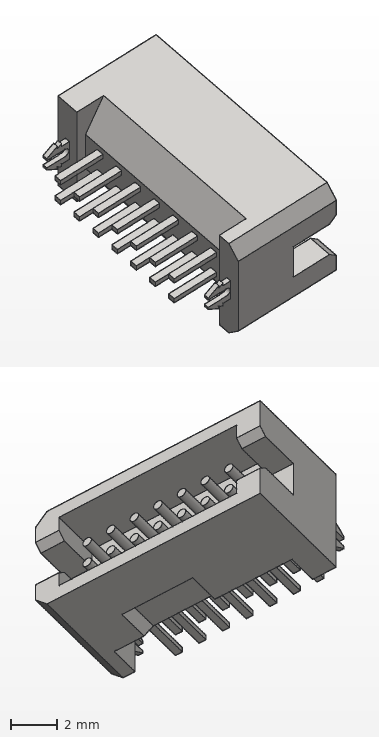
import cadquery as cq


LENGTH = 12.06
HEIGHT = 5.7
DEPTH = 5.58
CORNER_CHAMFER = 0.63
END_WALL = 1.27
CAVITY_LENGTH = LENGTH - 2 * END_WALL
CAVITY_HEIGHT = 4.2
CAVITY_DEPTH = 2.44

SLOT_HEIGHT = 1.93
MOUTH_FLARE = 0.34
MOUTH_RUN = 0.4

RECESS_FLOOR_DEPTH = 0.5
RECESS_FLOOR_HEIGHT = 2.17
RECESS_EDGE_DEPTH = 1.52

PITCH = 1.27
COLUMNS = 7
PIN_DIAMETER = 0.46
PIN_TIP_SETBACK = 0.75
TAIL_WIDTH = 0.37
TAIL_HEIGHT = 0.28
TAIL_REACH = 1.9

WINDOW_LENGTH = 3 * PITCH
WINDOW_CENTER_X = PITCH
WINDOW_TOP = -1.66

CLIP_THICKNESS = 0.25
CLIP_REACH = 1.28
CLIP_HALF_HEIGHT = 0.74
CLIP_NECK_HALF_HEIGHT = 0.57
CLIP_FIRST_BARB = 0.43
CLIP_SECOND_BARB = 0.68
CLIP_TIP_HALF_HEIGHT = 0.36
FORK_HALF_GAP = 0.23
FORK_ROOT = 0.02
FORK_STRAIGHT_START = FORK_ROOT + FORK_HALF_GAP
CLIP_OFFSET_X = (LENGTH - END_WALL) / 2


def box(x_size, y_start, y_end, z_size, x_center=0.0, z_center=0.0):
    """Box centred at x_center and z_center, spanning y_start to y_end."""
    return (
        cq.Workplane("XY")
        .box(x_size, y_end - y_start, z_size)
        .translate((x_center, (y_start + y_end) / 2, z_center))
    )


def make_shell():
    """Outer block with the two long edges of the +X end chamfered."""
    return box(LENGTH, 0, DEPTH, HEIGHT).faces(">X").edges("|Y").chamfer(CORNER_CHAMFER)


def make_side_slot():
    """End-wall slot with a flared mouth, running the full length."""
    half = SLOT_HEIGHT / 2
    floor_y = DEPTH - CAVITY_DEPTH
    profile = [
        (floor_y, -half),
        (DEPTH - MOUTH_RUN, -half),
        (DEPTH, -half - MOUTH_FLARE),
        (DEPTH, half + MOUTH_FLARE),
        (DEPTH - MOUTH_RUN, half),
        (floor_y, half),
    ]
    return cq.Workplane("YZ").polyline(profile).close().extrude(LENGTH / 2, both=True)


def make_tail_recess():
    """Recess between the end walls: a flat floor with sloping sides above and below."""
    profile = [
        (0, -HEIGHT / 2),
        (RECESS_EDGE_DEPTH, -HEIGHT / 2),
        (RECESS_FLOOR_DEPTH, -RECESS_FLOOR_HEIGHT / 2),
        (RECESS_FLOOR_DEPTH, RECESS_FLOOR_HEIGHT / 2),
        (RECESS_EDGE_DEPTH, HEIGHT / 2),
        (0, HEIGHT / 2),
    ]
    return cq.Workplane("YZ").polyline(profile).close().extrude(CAVITY_LENGTH / 2, both=True)


def make_window():
    """Notch in the -Z side that leads from the tail recess into the plug cavity."""
    height = WINDOW_TOP + HEIGHT / 2
    center_z = WINDOW_TOP - height / 2
    return box(WINDOW_LENGTH, 0, DEPTH - CAVITY_DEPTH, height, WINDOW_CENTER_X, center_z)


def make_pin(x, z):
    """Round contact in the cavity that continues as a rectangular solder tail."""
    cavity_floor = DEPTH - CAVITY_DEPTH
    contact_length = CAVITY_DEPTH - PIN_TIP_SETBACK
    contact = cq.Solid.makeCylinder(
        PIN_DIAMETER / 2, contact_length, cq.Vector(x, cavity_floor, z), cq.Vector(0, 1, 0)
    )
    tail = box(TAIL_WIDTH, -TAIL_REACH, cavity_floor, TAIL_HEIGHT, x, z)
    return tail.union(cq.Workplane(contact))


def make_housing():
    """Housing and its moulded-in pins as one solid."""
    cavity = box(CAVITY_LENGTH, DEPTH - CAVITY_DEPTH, DEPTH, CAVITY_HEIGHT)
    body = make_shell().cut(cavity).cut(make_side_slot()).cut(make_tail_recess()).cut(make_window())
    for column in range(COLUMNS):
        x = (column - (COLUMNS - 1) / 2) * PITCH
        for z in (-PITCH / 2, PITCH / 2):
            body = body.union(make_pin(x, z))
    return body


def make_clip(x):
    """Forked clip on the end-wall face, with two saw-tooth barbs on each prong."""
    barb_slope = (CLIP_HALF_HEIGHT - CLIP_TIP_HALF_HEIGHT) / (CLIP_REACH - CLIP_SECOND_BARB)
    notch = CLIP_HALF_HEIGHT - barb_slope * (CLIP_SECOND_BARB - CLIP_FIRST_BARB)
    upper_edge = [
        (0, CLIP_NECK_HALF_HEIGHT),
        (-CLIP_FIRST_BARB, CLIP_NECK_HALF_HEIGHT),
        (-CLIP_FIRST_BARB, CLIP_HALF_HEIGHT),
        (-CLIP_SECOND_BARB, notch),
        (-CLIP_SECOND_BARB, CLIP_HALF_HEIGHT),
        (-CLIP_REACH, CLIP_TIP_HALF_HEIGHT),
        (-CLIP_REACH, FORK_HALF_GAP),
        (-FORK_STRAIGHT_START, FORK_HALF_GAP),
    ]
    lower_edge = [(y, -z) for y, z in reversed(upper_edge)]
    return (
        cq.Workplane("YZ", origin=(x, 0, 0))
        .polyline(upper_edge)
        .threePointArc((-FORK_ROOT, 0), lower_edge[0])
        .polyline(lower_edge, includeCurrent=False)
        .close()
        .extrude(CLIP_THICKNESS / 2, both=True)
    )


housing = make_housing()
clips = [make_clip(x).val() for x in (-CLIP_OFFSET_X, CLIP_OFFSET_X)]

result = cq.Compound.makeCompound([housing.val(), *clips])